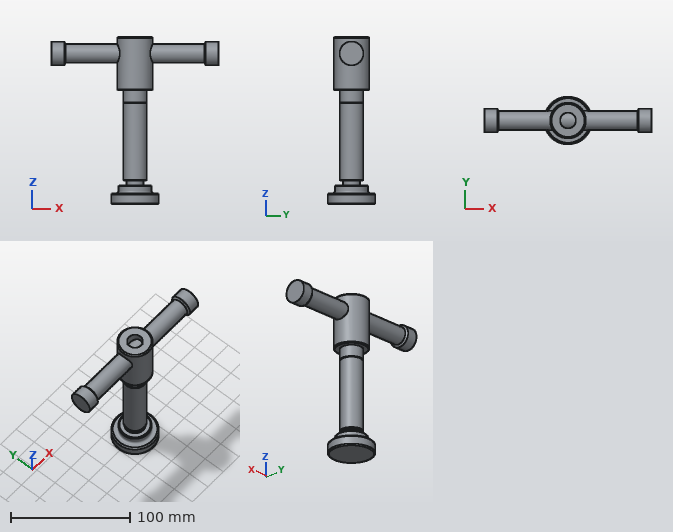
import cadquery as cq

total_height = 140.5
pad_height = 16.0
flange_height = 9.4
shank_bottom = 19.7
groove_level = 85.0
head_height = 45.0
head_bottom = total_height - head_height
bar_level = 126.5

pad_diameter = 40.0
collar_diameter = 28.0
flange_top_chamfer = 1.4
flange_bottom_chamfer = 1.1
collar_chamfer = 1.0
collar_fillet = 1.7
seat_depth = 7.0
seat_chamfer = 1.7

head_diameter = 30.0
head_top_chamfer = 1.3
head_bottom_chamfer = 1.0
shank_diameter = 20.0
shank_chamfer = 1.0
groove_depth = 0.8
groove_width = 0.8
neck_diameter = 14.6
top_hole_diameter = 13.2

bar_length = 140.0
bar_diameter = 16.0
knob_diameter = 20.0
knob_length = 12.0
knob_chamfer_length = 1.4


def cylinder(diameter, bottom, top):
    """Upright cylinder on the Z axis between two levels."""
    return cq.Workplane("XY").workplane(offset=bottom).circle(diameter / 2).extrude(top - bottom)


def bar_cylinder(diameter, length):
    """Cylinder along X through the bar axis, centred on X = 0."""
    return (
        cq.Workplane("YZ", origin=(0, 0, bar_level))
        .circle(diameter / 2)
        .extrude(length / 2, both=True)
    )


def make_pad():
    """Stepped pressure pad with a blind countersunk seat for the spindle neck."""
    pad_radius = pad_diameter / 2
    collar_radius = collar_diameter / 2
    seat_radius = neck_diameter / 2
    seat_floor = pad_height - seat_depth
    return (
        cq.Workplane("XZ")
        .moveTo(0, 0)
        .lineTo(pad_radius - flange_bottom_chamfer, 0)
        .lineTo(pad_radius, flange_bottom_chamfer)
        .lineTo(pad_radius, flange_height - flange_top_chamfer)
        .lineTo(pad_radius - flange_top_chamfer, flange_height)
        .lineTo(collar_radius + collar_fillet, flange_height)
        .radiusArc((collar_radius, flange_height + collar_fillet), collar_fillet)
        .lineTo(collar_radius, pad_height - collar_chamfer)
        .lineTo(collar_radius - collar_chamfer, pad_height)
        .lineTo(seat_radius + seat_chamfer, pad_height)
        .lineTo(seat_radius, pad_height - seat_chamfer)
        .lineTo(seat_radius, seat_floor)
        .lineTo(0, seat_floor)
        .close()
        .revolve(360, (0, 0, 0), (0, 1, 0))
    )


def make_spindle():
    """Head, grooved shank and neck, with a cross bore for the bar and a hole in the top."""
    head = (
        cylinder(head_diameter, head_bottom, total_height)
        .faces(">Z").edges().chamfer(head_top_chamfer)
        .faces("<Z").edges().chamfer(head_bottom_chamfer)
    )
    shank = cylinder(shank_diameter, shank_bottom, head_bottom).faces("<Z").edges().chamfer(shank_chamfer)
    neck = cylinder(neck_diameter, pad_height - seat_depth, shank_bottom)
    radius = shank_diameter / 2
    groove_top = groove_level + groove_width / 2
    groove = (
        cq.Workplane("XZ")
        .moveTo(radius, groove_top - groove_width)
        .lineTo(radius - groove_depth, groove_top)
        .lineTo(radius, groove_top)
        .close()
        .revolve(360, (0, 0, 0), (0, 1, 0))
    )
    top_hole = cylinder(top_hole_diameter, bar_level, total_height)
    cross_bore = bar_cylinder(bar_diameter, bar_length)
    return head.union(shank).union(neck).cut(groove).cut(top_hole).cut(cross_bore)


def make_bar():
    """Sliding bar with a knob at each end, chamfered down to the bar on the inner side."""
    bar = bar_cylinder(bar_diameter, bar_length)
    half_length = bar_length / 2
    inner_end = half_length - knob_length
    for side in (-1, 1):
        knob = (
            cq.Workplane("XZ", origin=(0, 0, bar_level))
            .moveTo(side * half_length, 0)
            .lineTo(side * half_length, knob_diameter / 2)
            .lineTo(side * (inner_end + knob_chamfer_length), knob_diameter / 2)
            .lineTo(side * inner_end, bar_diameter / 2)
            .lineTo(side * inner_end, 0)
            .close()
            .revolve(360, (0, 0, 0), (1, 0, 0))
        )
        bar = bar.union(knob)
    return bar


pad = make_pad()
spindle = make_spindle()
bar = make_bar()

result = cq.Compound.makeCompound([pad.val(), spindle.val(), bar.val()])